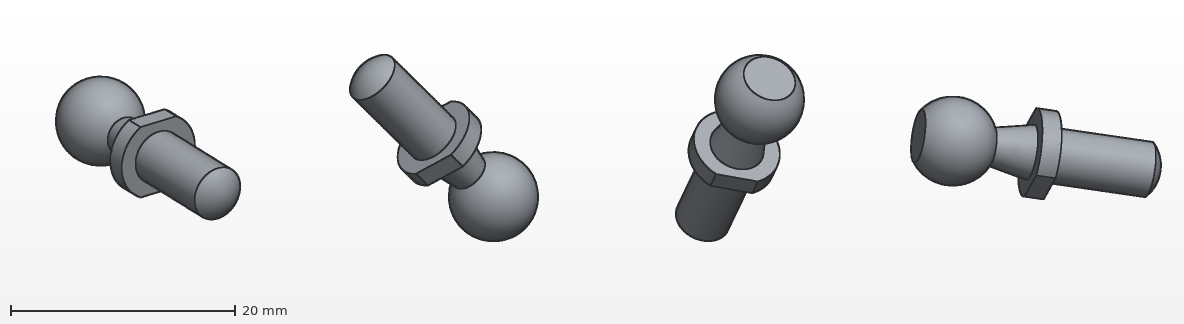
import cadquery as cq
import math

total_length = 22.4
ball_radius = 8.0 / 2
ball_centre_x = 3.2
neck_radius = 1.75
shank_radius = 5.0 / 2
collar_start_x = 10.4
collar_thickness = 1.8
collar_radius = ball_radius
collar_across_flats = 7.0
dome_radius = 3.5

face_radius = math.sqrt(ball_radius**2 - ball_centre_x**2)
neck_start_x = ball_centre_x + math.sqrt(ball_radius**2 - neck_radius**2)
dome_height = dome_radius - math.sqrt(dome_radius**2 - shank_radius**2)
dome_start_x = total_length - dome_height
dome_centre_x = total_length - dome_radius
half_dome_angle = math.asin(shank_radius / dome_radius) / 2
dome_mid_point = (
    dome_centre_x + dome_radius * math.cos(half_dome_angle),
    dome_radius * math.sin(half_dome_angle),
)


def make_stud():
    """Ball, tapered neck, shank and domed tip as one revolved profile."""
    profile = (
        cq.Workplane("XY")
        .lineTo(0, face_radius)
        .threePointArc((ball_centre_x, ball_radius), (neck_start_x, neck_radius))
        .lineTo(collar_start_x, shank_radius)
        .lineTo(dome_start_x, shank_radius)
        .threePointArc(dome_mid_point, (total_length, 0))
        .close()
    )
    return profile.revolve(360, (0, 0, 0), (1, 0, 0))


def make_collar():
    """Round collar with flats on its top and bottom."""
    disc = cq.Workplane("YZ", origin=(collar_start_x, 0, 0)).circle(collar_radius).extrude(collar_thickness)
    flats = cq.Workplane("XY").box(
        collar_thickness, 2 * collar_radius, collar_across_flats
    ).translate((collar_start_x + collar_thickness / 2, 0, 0))
    return disc.intersect(flats)


result = make_stud().union(make_collar())